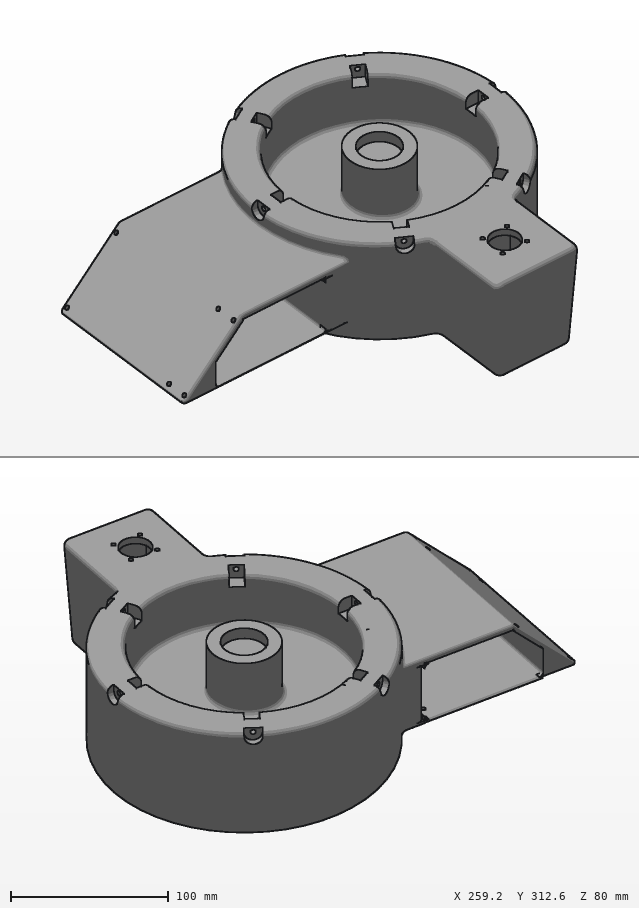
import cadquery as cq
import math

height = 80.0
drum_radius = 100.0
edge_round = 5.0
bowl_radius = 150.0 / 2
bowl_floor_z = height / 2
hub_radius = 48.0 / 2
hub_bore_radius = 30.0 / 2
hub_bore_depth = 8.0

arm_reach = 159.5
arm_width = 68.2
arm_root_x = drum_radius / 2
arm_draft = 3.0
motor_x = 125.0
motor_plate = 5.0
motor_pocket_size = 48.0
motor_bore = 22.0
motor_screw = 3.05
motor_screw_pitch = 20.0

frame_width = 125.0
frame_center_x = 1.95
frame_bottom = 15.0
frame_top = 65.3
frame_left = frame_center_x - frame_width / 2
frame_right = frame_center_x + frame_width / 2
frame_sharp_tip_y = -214.7
frame_root_y = -drum_radius / 2
frame_round = 3.0
tip_round = 1.47
crease_round = 4.0
slope_rise = frame_bottom - frame_sharp_tip_y
window_back_y = -97.0
window_front_y = -186.9
window_floor_z = 17.0
top_skin = 5.2
slope_skin = 3.5
window_corner_round = 3.0
window_jamb_round = 5.5
window_top_lip_round = 1.8
window_floor_lip_round = 3.5

panel_screw = 3.05
panel_screw_depth = 4.0
panel_screw_xs = (-56.5, 45.3, 60.5)
panel_screw_zs = (20.0, 60.3)
floor_screw_x = -49.0
floor_screw_y = -103.5

fastener_count = 6
fastener_z = 76.7
fastener_hole = 3.4
head_recess_radius = 6.0
head_seat_radius = drum_radius - edge_round
nut_pocket_size = 10.0

tolerance = 0.01


def build_shell():
    """Drum with the drafted motor arm, junction and outer edges rounded."""
    drum = cq.Workplane("XY").circle(drum_radius).extrude(height)
    arm = (
        cq.Workplane("XY", origin=((arm_root_x + arm_reach) / 2, 0, height))
        .rect(arm_reach - arm_root_x, arm_width)
        .extrude(-height, taper=arm_draft)
    )
    upright_edges = cq.selectors.BoxSelector(
        (0, -drum_radius, tolerance), (2 * arm_reach, drum_radius, height - tolerance)
    )
    shell = drum.union(arm).edges(upright_edges).fillet(edge_round)
    return shell.faces("|Z").edges().fillet(edge_round)


def extrude_across(outline, x_start, x_end):
    """Prism along X over a closed (y, z) outline."""
    return (
        cq.Workplane("YZ", origin=(x_start, 0, 0))
        .polyline(outline)
        .close()
        .extrude(x_end - x_start)
    )


def build_frame():
    """Outlet frame block: a box whose front slopes at 45 degrees, outer edges rounded."""
    crease_y = frame_top - slope_rise
    outline = [
        (frame_root_y, frame_bottom),
        (frame_sharp_tip_y, frame_bottom),
        (crease_y, frame_top),
        (frame_root_y, frame_top),
    ]
    block = extrude_across(outline, frame_left, frame_right)
    block = block.edges("|X and <Y").fillet(tip_round)
    block = block.edges("|X").edges(">Z").edges("<Y").fillet(crease_round)
    block = block.faces("<X or >X").edges("not >Y").fillet(frame_round)
    square_floor_edge = cq.Workplane("XY").box(
        frame_round,
        frame_root_y - window_front_y,
        frame_round,
        centered=False,
    )
    return block.union(square_floor_edge.translate((frame_left, window_front_y, frame_bottom)))


def round_junction(body):
    """Blend the frame into the drum wall."""
    margin = frame_round / 2
    junction = cq.selectors.BoxSelector(
        (frame_left - margin, -drum_radius - margin, frame_bottom - margin),
        (frame_right + margin, frame_root_y, frame_top + margin),
    )
    return body.edges(junction).edges("not(|Y)").fillet(frame_round)


def window_outline():
    """Corners of the opening as (y, z), starting at the front end of its floor."""
    inner_top = frame_top - top_skin
    inner_rise = slope_rise - slope_skin * math.sqrt(2)
    return [
        (window_front_y, window_floor_z),
        (window_back_y, window_floor_z),
        (window_back_y, inner_top),
        (inner_top - inner_rise, inner_top),
        (window_front_y, inner_rise + window_front_y),
    ]


def build_window():
    """Cutter for the opening that runs through the frame from left to right."""
    window = extrude_across(window_outline(), frame_left - frame_round, frame_right + frame_round)
    return window.edges("|X and (>Y or <Z)").fillet(window_corner_round)


def build_lip(start, end, radius):
    """Cutter that rounds one straight left-hand window edge, given by its (y, z) ends."""
    run = cq.Vector(0, end[0] - start[0], end[1] - start[1])
    plane = cq.Plane(origin=(frame_left, *start), xDir=(1, 0, 0), normal=run.toTuple())
    middle = radius * (1 - math.sqrt(0.5))
    return (
        cq.Workplane(plane)
        .lineTo(radius, 0)
        .threePointArc((middle, middle), (0, radius))
        .close()
        .extrude(run.Length)
    )


def round_window_edges(body):
    """Round the window into the left and right faces; the thin floor only on the left."""
    front, back, back_top, crease, _ = window_outline()
    both_sides = [
        build_lip(back, back_top, window_jamb_round),
        build_lip(back_top, crease, window_top_lip_round),
    ]
    for lip in both_sides:
        body = body.cut(lip)
        body = body.cut(lip.mirror("YZ", (frame_center_x, 0, 0)))
    return body.cut(build_lip(front, back, window_floor_lip_round))


def drill_frame(body):
    """Shallow holes square to the sloping panel and one hole through the floor."""
    for x in panel_screw_xs:
        for z in panel_screw_zs:
            plane = cq.Plane(origin=(x, z - slope_rise, z), xDir=(1, 0, 0), normal=(0, -1, 1))
            body = body.cut(cq.Workplane(plane).circle(panel_screw / 2).extrude(-panel_screw_depth))
    floor_hole = (
        cq.Workplane("XY", origin=(floor_screw_x, floor_screw_y, frame_bottom))
        .circle(panel_screw / 2)
        .extrude(window_floor_z - frame_bottom)
    )
    return body.cut(floor_hole)


def rim_edge(body):
    """Top edge of the bowl."""
    circles = body.faces(">Z").edges("%CIRCLE").vals()
    return next(edge for edge in circles if abs(edge.radius() - bowl_radius) < tolerance)


def cut_bowl(body):
    """Round bowl around a central hub, with a blind bore in the hub."""
    bowl = (
        cq.Workplane("XY", origin=(0, 0, bowl_floor_z))
        .circle(bowl_radius)
        .circle(hub_radius)
        .extrude(height - bowl_floor_z)
        .faces("<Z")
        .edges()
        .fillet(edge_round)
    )
    body = body.cut(bowl)
    body = body.newObject([rim_edge(body)]).fillet(edge_round)
    bore = cq.Workplane("XY", origin=(0, 0, height)).circle(hub_bore_radius).extrude(-hub_bore_depth)
    return body.cut(bore)


def cut_motor_mount(body):
    """Square pocket under the arm, open at the bottom, with bore and screw holes above it."""
    motor_axis = cq.Workplane("XY", origin=(motor_x, 0, 0))
    pocket = motor_axis.rect(motor_pocket_size, motor_pocket_size).extrude(height - motor_plate)
    bore = motor_axis.circle(motor_bore / 2).extrude(height)
    screws = (
        motor_axis.rect(motor_screw_pitch, motor_screw_pitch, forConstruction=True)
        .vertices()
        .circle(motor_screw / 2)
        .extrude(height)
    )
    return body.cut(pocket).cut(bore).cut(screws)


def build_fastener():
    """Cutter for one radial lid fastener on the +X side of the rim."""
    nut_pocket_length = 2 * nut_pocket_size
    nut_pocket_start = bowl_radius + nut_pocket_size - nut_pocket_length
    nut_pocket = cq.Workplane("XY").box(
        nut_pocket_length, nut_pocket_size, nut_pocket_size, centered=(False, True, False)
    )
    nut_pocket = nut_pocket.translate((nut_pocket_start, 0, height - nut_pocket_size))
    hole = (
        cq.Workplane("YZ", origin=(bowl_radius, 0, fastener_z))
        .circle(fastener_hole / 2)
        .extrude(drum_radius - bowl_radius)
    )
    recess_length = 2 * edge_round
    recess = (
        cq.Workplane("YZ", origin=(head_seat_radius, 0, fastener_z))
        .circle(head_recess_radius)
        .extrude(recess_length)
    )
    recess_mouth = cq.Workplane("XY").box(
        recess_length, 2 * head_recess_radius, height - fastener_z, centered=(False, True, False)
    )
    recess_mouth = recess_mouth.translate((head_seat_radius, 0, fastener_z))
    return nut_pocket.union(hole).union(recess).union(recess_mouth)


def cut_fasteners(body):
    """Lid fasteners spread evenly around the rim, clear of the arm."""
    step = 360 / fastener_count
    start = step / 2
    fastener = build_fastener()
    for index in range(fastener_count):
        body = body.cut(fastener.rotate((0, 0, 0), (0, 0, 1), start + index * step))
    return body


body = round_junction(build_shell().union(build_frame()))
body = round_window_edges(body.cut(build_window()))
body = drill_frame(body)
body = cut_bowl(body)
body = cut_motor_mount(body)
result = cut_fasteners(body)